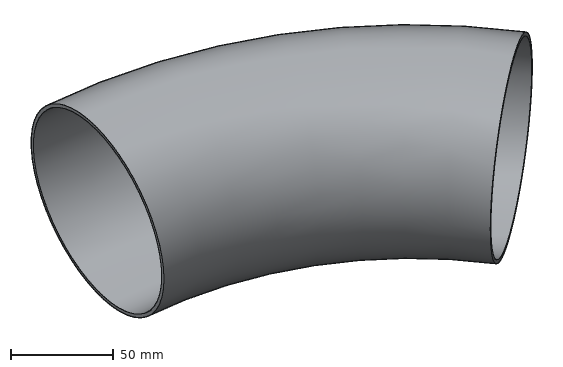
import cadquery as cq
import math

overall_length = 231.3
pipe_diameter = 114.3
wall_thickness = 2.0
bend_angle = 45.0

outer_radius = pipe_diameter / 2
inner_radius = outer_radius - wall_thickness

outside_bend_radius = overall_length / math.sin(math.radians(bend_angle))
bend_radius = outside_bend_radius - outer_radius

result = (
    cq.Workplane("XZ")
    .circle(outer_radius)
    .circle(inner_radius)
    .revolve(bend_angle, (bend_radius, 0, 0), (bend_radius, -1, 0))
)